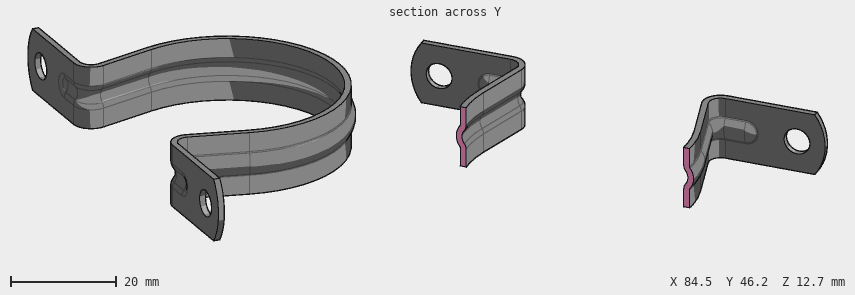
import cadquery as cq
import math

length = 84.5
height = 46.15
strip_width = 12.7
thickness = 1.3

loop_inner_radius = 22.2
leg_lean = math.radians(15)
bend_outer_radius = 3.6

bead_rise = 0.85
groove_radius = 2.3
lip_radius = 1.7
bead_end_x = 26.1

hole_diameter = 5.2
hole_x = 36.5
tip_bulge = 2.1

loop_outer_radius = loop_inner_radius + thickness
loop_center_y = height - bead_rise - loop_outer_radius
bend_inner_radius = bend_outer_radius - thickness
half_width = strip_width / 2

bend_center_y = bend_outer_radius
center_gap = loop_outer_radius + bend_inner_radius
center_drop = loop_center_y - bend_center_y
bend_center_x = (center_gap - center_drop * math.sin(leg_lean)) / math.cos(leg_lean)

groove_center_y = bead_rise - groove_radius
bead_half_width = math.sqrt((groove_radius + lip_radius) ** 2 - (lip_radius - groove_center_y) ** 2)
bead_slope = math.asin(bead_half_width / (groove_radius + lip_radius))


def on_circle(center, radius, angle):
    """Point on a circle, with the angle measured counterclockwise from the first axis."""
    return (center[0] + radius * math.cos(angle), center[1] + radius * math.sin(angle))


def bent_line(offset):
    """Points of the strip line `offset` above the mounting face, from left tip to right tip.

    On each side these are the tip, then the end, middle and start of the bend arc, then the
    end of the loop arc; the loop crest lies between the two sides.
    """
    bend_center = (bend_center_x, bend_center_y)
    loop_center = (0, loop_center_y)
    loop_radius = loop_inner_radius + offset
    bend_radius = bend_outer_radius - offset
    bend_mid_angle = (5 * math.pi / 2 - leg_lean) / 2
    right = [
        on_circle(loop_center, loop_radius, -leg_lean),
        on_circle(bend_center, bend_radius, math.pi - leg_lean),
        on_circle(bend_center, bend_radius, bend_mid_angle),
        on_circle(bend_center, bend_radius, 3 * math.pi / 2),
        (length / 2, offset),
    ]
    crest = (0, loop_center_y + loop_radius)
    return mirrored(right) + [crest] + right


def mirrored(points):
    """Points mirrored about the second axis and listed in reverse order."""
    return [(-x, y) for x, y in reversed(points)]


def draw_bent_line(sketch, points):
    """Draw onto `sketch` from the first point of a bent line to its last point."""
    _, bend_1_start, bend_1_mid, bend_1_end, loop_start, crest, loop_end, *rest = points
    bend_2_start, bend_2_mid, bend_2_end, tip = rest
    return (
        sketch.lineTo(*bend_1_start)
        .threePointArc(bend_1_mid, bend_1_end)
        .lineTo(*loop_start)
        .threePointArc(crest, loop_end)
        .lineTo(*bend_2_start)
        .threePointArc(bend_2_mid, bend_2_end)
        .lineTo(*tip)
    )


def flat_strip():
    """Bent strip of plain rectangular section with bulged tips."""
    lower_line = bent_line(0)
    upper_line = bent_line(thickness)[::-1]
    sketch = cq.Workplane("XY", origin=(0, 0, -half_width)).moveTo(*lower_line[0])
    sketch = draw_bent_line(sketch, lower_line).lineTo(*upper_line[0])
    bent_strip = draw_bent_line(sketch, upper_line).close().extrude(strip_width)
    corner_x = length / 2 - tip_bulge
    front_outline = (
        cq.Workplane("XZ")
        .moveTo(-corner_x, -half_width)
        .lineTo(corner_x, -half_width)
        .threePointArc((length / 2, 0), (corner_x, half_width))
        .lineTo(-corner_x, half_width)
        .threePointArc((-length / 2, 0), (-corner_x, -half_width))
        .close()
        .extrude(-height)
    )
    return bent_strip.intersect(front_outline)


def half_bead_line(offset):
    """Half of the bead section on the strip surface `offset` above the mounting face.

    The points are the crest, the middle of the dome, the joint between dome and lip,
    the middle of the lip and the flat edge of the bead.
    """
    dome_center = (0, groove_center_y)
    lip_center = (bead_half_width, lip_radius)
    dome_radius = groove_radius + offset
    lip_arc_radius = lip_radius - offset
    return [
        on_circle(dome_center, dome_radius, math.pi / 2),
        on_circle(dome_center, dome_radius, (math.pi - bead_slope) / 2),
        on_circle(dome_center, dome_radius, math.pi / 2 - bead_slope),
        on_circle(lip_center, lip_arc_radius, -(math.pi + bead_slope) / 2),
        on_circle(lip_center, lip_arc_radius, -math.pi / 2),
    ]


def across_strip(point, up):
    """Workplane across the strip at `point`, with its axes along Z and the direction `up`."""
    plane = cq.Plane(origin=(*point, 0), xDir=(0, 0, 1), normal=(-up[1], up[0], 0))
    return cq.Workplane(plane)


def bead_section(point, up):
    """Whole bead section across the strip, with its mounting face at `point`."""
    crest, _, joint, lip_mid, flat = half_bead_line(0)
    far_flat, far_lip_mid, far_joint, *_ = mirrored(half_bead_line(0))
    top_crest, _, top_joint, top_lip_mid, top_flat = half_bead_line(thickness)
    top_far_flat, top_far_lip_mid, top_far_joint, *_ = mirrored(half_bead_line(thickness))
    return (
        across_strip(point, up)
        .moveTo(*far_flat)
        .threePointArc(far_lip_mid, far_joint)
        .threePointArc(crest, joint)
        .threePointArc(lip_mid, flat)
        .lineTo(*top_flat)
        .threePointArc(top_lip_mid, top_joint)
        .threePointArc(top_crest, top_far_joint)
        .threePointArc(top_far_lip_mid, top_far_flat)
        .close()
    )


def loop_bead():
    """Bead around the loop, from the left leg to the right leg."""
    turn = 180 + 2 * math.degrees(leg_lean)
    section = bead_section(leg_top, leg_up)
    return section.revolve(turn, (0, -loop_inner_radius), (-1, -loop_inner_radius))


def left_leg_bead():
    """Straight bead on the left leg."""
    return bead_section(leg_top, leg_up).extrude(math.dist(leg_top, leg_bottom))


def left_bend_bead():
    """Bead around the left bend, from the foot to the leg."""
    turn = 90 + math.degrees(leg_lean)
    section = bead_section((-bend_center_x, 0), foot_up)
    return section.revolve(turn, (0, bend_outer_radius), (1, bend_outer_radius))


def left_foot_bead():
    """Straight bead on the left foot."""
    return bead_section((-bend_center_x, 0), foot_up).extrude(bead_end_x - bend_center_x)


def left_bead_end():
    """Rounded end of the bead: half of its section turned half a turn on the left foot."""
    crest, dome_mid, joint, lip_mid, flat = half_bead_line(0)
    top_crest, top_dome_mid, top_joint, top_lip_mid, top_flat = half_bead_line(thickness)
    return (
        across_strip((-bead_end_x, 0), foot_up)
        .moveTo(*crest)
        .threePointArc(dome_mid, joint)
        .threePointArc(lip_mid, flat)
        .lineTo(*top_flat)
        .threePointArc(top_lip_mid, top_joint)
        .threePointArc(top_dome_mid, top_crest)
        .close()
        .revolve(180, (0, 0), (0, -1))
    )


leg_top = on_circle((0, loop_center_y), loop_inner_radius, math.pi + leg_lean)
leg_bottom = on_circle((-bend_center_x, bend_center_y), bend_outer_radius, leg_lean)
leg_up = (-math.cos(leg_lean), -math.sin(leg_lean))
foot_up = (0, 1)

bead_slot = (
    cq.Workplane("XZ")
    .slot2D(2 * (bead_end_x + bead_half_width), 2 * bead_half_width)
    .extrude(-height)
)
screw_holes = (
    cq.Workplane("XZ")
    .pushPoints([(-hole_x, 0), (hole_x, 0)])
    .circle(hole_diameter / 2)
    .extrude(-thickness)
)

result = flat_strip().cut(bead_slot).cut(screw_holes).union(loop_bead())
for left_bead in (left_leg_bead(), left_bend_bead(), left_foot_bead(), left_bead_end()):
    result = result.union(left_bead).union(left_bead.mirror("YZ"))